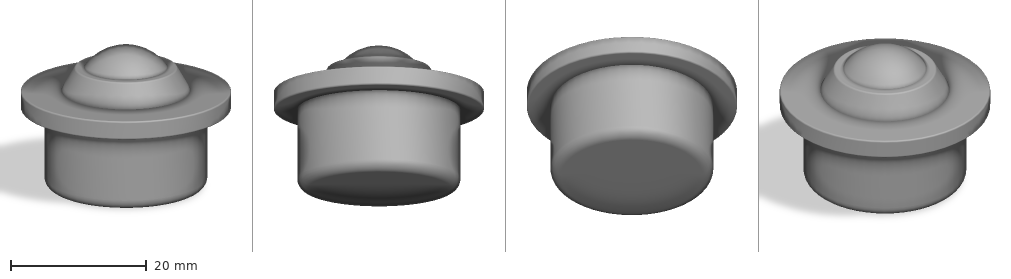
import cadquery as cq

total_height = 21.5

body_diameter = 24.0
body_bottom_fillet = 1.5

flange_diameter = 31.0
flange_thickness = 2.8
flange_top = 14.8
flange_edge_fillet = 0.25

collar_base_diameter = 19.03
collar_top_diameter = 15.0
collar_top = 18.32
collar_edge_fillet = 0.37

ball_radius = 7.5

flange_bottom = flange_top - flange_thickness


def make_body():
    """Cylindrical housing below the flange, rounded at the bottom edge."""
    body = cq.Workplane("XY").circle(body_diameter / 2).extrude(flange_top)
    return body.faces("<Z").edges().fillet(body_bottom_fillet)


def make_flange():
    """Round flange with both rims slightly rounded."""
    flange = cq.Workplane("XY").workplane(offset=flange_bottom)
    flange = flange.circle(flange_diameter / 2).extrude(flange_thickness)
    return flange.faces("<Z or >Z").edges().fillet(flange_edge_fillet)


def make_collar():
    """Conical collar that retains the ball, rounded at its top edge."""
    profile = (
        cq.Workplane("XZ")
        .moveTo(0, flange_bottom)
        .lineTo(collar_base_diameter / 2, flange_bottom)
        .lineTo(collar_base_diameter / 2, flange_top)
        .lineTo(collar_top_diameter / 2, collar_top)
        .lineTo(0, collar_top)
        .close()
    )
    collar = profile.revolve(360, (0, 0, 0), (0, 1, 0))
    return collar.faces(">Z").edges().fillet(collar_edge_fillet)


def make_ball():
    """Load ball whose top sets the overall height."""
    return cq.Workplane("XY").sphere(ball_radius).translate((0, 0, total_height - ball_radius))


result = make_body().union(make_flange()).union(make_collar()).union(make_ball())